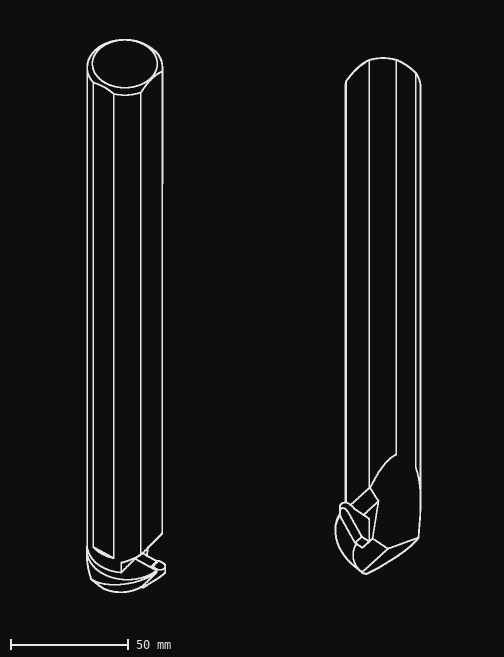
import cadquery as cq

overall_width = 38.0

length = 316.7
bar_diameter = 32.0
bar_radius = bar_diameter / 2
end_chamfer = 2.2
width_across_flats = 30.0
side_flat = width_across_flats / 2
edge_flat = width_across_flats - bar_radius
flat_bottom = 23.8

head_x = 2.5
head_y = -1.5
head_diameter = 34.5
head_radius = head_diameter / 2
head_top = 15.5
relief_x = -2.0
relief_y = -0.3
relief_tip_radius = 14.0
relief_slope = 0.55

neck_x = 8.2
neck_top = 21.5
neck_chamfer_top = 25.0
bevel_start = 17.7
tip_left = -0.3
back_taper_start = 47.5
back_knee_height = 21.2
back_knee_y = 6.5
back_tip_y = 3.0

insert_width = 4.5
insert_face_y = 0.5
insert_lip = 1.0
insert_top = head_top + insert_lip
insert_lip_x = 17.5
insert_reach = overall_width - bar_radius
insert_nose_bottom = 13.3
insert_tip_x = 12.5
insert_y = insert_face_y - insert_width / 2

margin = 63.5


def block(x_min, x_max, y_min, y_max, z_min, z_max):
    size = (x_max - x_min, y_max - y_min, z_max - z_min)
    return cq.Workplane("XY").box(*size, centered=False).translate((x_min, y_min, z_min))


def make_shank():
    shank = cq.Workplane("XY", origin=(0, 0, head_top)).circle(bar_radius).extrude(length - head_top)
    shank = shank.faces(">Z").chamfer(end_chamfer)
    shank = shank.cut(block(edge_flat, margin, -margin, margin, 0, length))
    shank = shank.cut(block(-margin, margin, -margin, -side_flat, flat_bottom, length))
    return shank.cut(block(-margin, margin, side_flat, margin, 0, length))


def cut_neck(shank):
    chamfer_run = edge_flat - neck_x
    slope = (neck_chamfer_top - neck_top) / chamfer_run
    notch = (
        cq.Workplane("XZ")
        .polyline([
            (neck_x, 0),
            (margin, 0),
            (margin, neck_top + slope * (margin - neck_x)),
            (neck_x, neck_top),
        ])
        .close()
        .extrude(margin, both=True)
    )
    return shank.cut(notch)


def make_head():
    shank_end = cq.Workplane("XY").circle(bar_radius).extrude(head_top)
    disc = cq.Workplane("XY").center(head_x, head_y).circle(head_radius).extrude(head_top)
    top_radius = relief_tip_radius + relief_slope * head_top
    cone = cq.Solid.makeCone(
        relief_tip_radius, top_radius, head_top, pnt=cq.Vector(relief_x, relief_y, 0)
    )
    return disc.union(shank_end).intersect(cq.Workplane(cone))


def bevel_cutter():
    slope = bevel_start / (tip_left + bar_radius)
    return (
        cq.Workplane("XZ")
        .polyline([
            (tip_left + margin, -slope * margin),
            (-margin, -slope * margin),
            (-margin, bevel_start + slope * (margin - bar_radius)),
        ])
        .close()
        .extrude(margin, both=True)
    )


def back_cutter():
    return (
        cq.Workplane("YZ")
        .polyline([
            (back_tip_y, 0),
            (back_knee_y, back_knee_height),
            (side_flat, back_taper_start),
            (margin, back_taper_start),
            (margin, 0),
        ])
        .close()
        .extrude(margin, both=True)
    )


def make_insert():
    profile = (
        cq.Workplane("XZ")
        .polyline([
            (neck_x, 0),
            (insert_tip_x, 0),
            (insert_reach, insert_nose_bottom),
            (insert_reach, insert_top),
            (insert_lip_x, insert_top),
            (insert_lip_x - insert_lip, head_top),
            (neck_x, head_top),
        ])
        .close()
        .extrude(margin, both=True)
    )
    nose_radius = insert_width / 2
    nose_x = insert_reach - nose_radius
    plate = block(neck_x, nose_x, insert_y - nose_radius, insert_face_y, 0, insert_top)
    nose = cq.Workplane("XY").center(nose_x, insert_y).circle(nose_radius).extrude(insert_top)
    return plate.union(nose).intersect(profile)


insert = make_insert()

bar = cut_neck(make_shank()).union(make_head())
bar = bar.cut(bevel_cutter()).cut(back_cutter())
bar = bar.cut(block(neck_x, margin, insert_face_y, margin, 0, neck_top))
bar = bar.cut(insert)

result = cq.Compound.makeCompound([bar.val(), insert.val()])